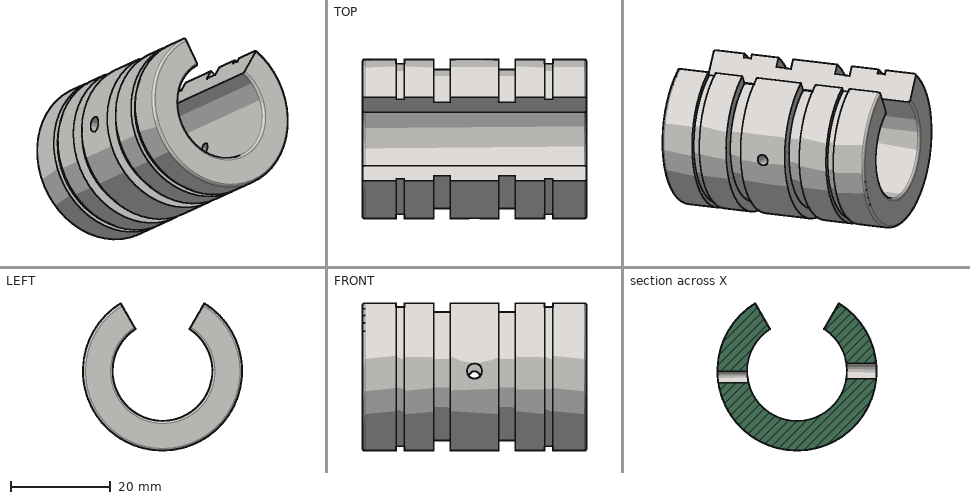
import cadquery as cq
import math

length = 45.0
outer_diameter = 32.0
bore_diameter = 20.0
edge_round = 0.5

narrow_groove_width = 1.6
narrow_groove_depth = 0.85
narrow_groove_offset = 14.9
wide_groove_width = 3.25
wide_groove_depth = 2.02
wide_groove_offset = 6.52

opening_half_angle = 30.0
opening_half_width_at_axis = 0.55

front_hole_diameter = 3.0
back_hole_diameter = 2.2
back_hole_height = -1.15

outer_radius = outer_diameter / 2
bore_radius = bore_diameter / 2


def cylinder_along_x(radius, width, center_x):
    start = cq.Workplane("YZ", origin=(center_x - width / 2, 0, 0))
    return start.circle(radius).extrude(width)


def ring_groove(center_x, width, depth):
    """Ring of material to remove from the outside of the sleeve."""
    outside = cylinder_along_x(outer_diameter, width, center_x)
    return outside.cut(cylinder_along_x(outer_radius - depth, width, center_x))


def opening_wedge():
    """Flaring cutter whose narrow end lies inside the bore."""
    top = outer_diameter
    half_width_top = opening_half_width_at_axis + top * math.tan(math.radians(opening_half_angle))
    return (
        cq.Workplane("YZ", origin=(-length / 2, 0, 0))
        .moveTo(-opening_half_width_at_axis, 0)
        .lineTo(-half_width_top, top)
        .lineTo(half_width_top, top)
        .lineTo(opening_half_width_at_axis, 0)
        .close()
        .extrude(length)
    )


def side_hole(diameter, height, side):
    """Hole along Y from the axis outward; side is -1 for -Y and 1 for +Y."""
    start = cq.Workplane(cq.Plane(origin=(0, 0, height), xDir=(1, 0, 0), normal=(0, side, 0)))
    return start.circle(diameter / 2).extrude(outer_diameter)


sleeve = cylinder_along_x(outer_radius, length, 0)
sleeve = sleeve.cut(cylinder_along_x(bore_radius, length, 0))
sleeve = sleeve.faces("<X or >X").edges().fillet(edge_round)

for side in (-1, 1):
    sleeve = sleeve.cut(ring_groove(side * narrow_groove_offset, narrow_groove_width, narrow_groove_depth))
    sleeve = sleeve.cut(ring_groove(side * wide_groove_offset, wide_groove_width, wide_groove_depth))

sleeve = sleeve.cut(opening_wedge())
sleeve = sleeve.cut(side_hole(front_hole_diameter, 0, -1))
sleeve = sleeve.cut(side_hole(back_hole_diameter, back_hole_height, 1))

result = sleeve